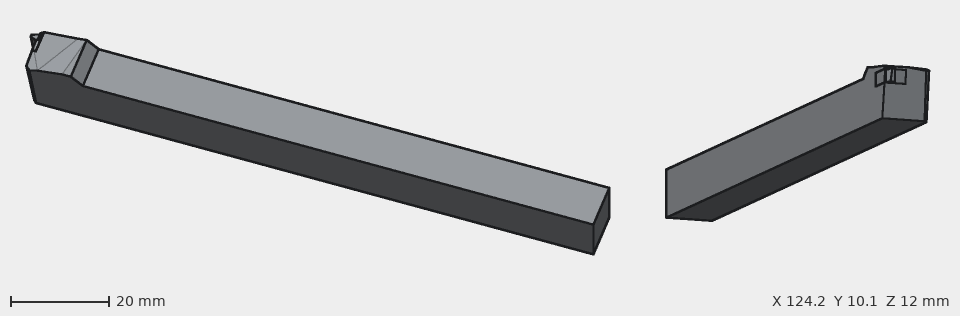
import cadquery as cq
import math


overall_length = 124.21
shank_width = 10.0
shank_height = 10.0
head_height = 12.0
relief_slope = math.tan(math.radians(10))
front_at_floor = 3.4
ridge_x = 11.6
ramp_run = 2.6
bevel_at_floor = 0.75
bevel_at_top = 1.15

front_facet_start = 2.4
front_facet_height = 10.75
valley_right_x = 4.4
valley_left_x = 9.75
valley_left_height = 11.65
corner_facet_left = (2.25, 4.4)
corner_facet_low_point = (2.6, 0.0, 10.35)

jaw_land_height = 10.6
jaw_land_width = 5.2
chip_ramp_angle = math.radians(45)

side_overhang = 0.05
insert_width = 4.6
insert_floor = 7.2
insert_back = 7.0
nose_margin = 0.2
nose_width = 2.0
nose_flat = 0.5
nose_rake = math.radians(6)

insert_top = shank_height
insert_side = shank_width + side_overhang
nose_outer = insert_side - nose_margin
nose_inner = nose_outer - nose_width
cutter_size = 60.0


def front_x(z):
    """X of the sloping front face of the head at height z."""
    return front_at_floor - z * relief_slope


def extrude_profile(points, y_start, y_end):
    """Extrude an outline given in X and Z from one Y to another."""
    outline = cq.Workplane("XZ", origin=(0, y_start, 0)).polyline(points).close()
    return outline.extrude(y_start - y_end)


def below_plane(a, b, c):
    """Large block that fills the space under the plane through three points."""
    along = cq.Vector(*b) - cq.Vector(*a)
    normal = along.cross(cq.Vector(*c) - cq.Vector(*a))
    if normal.z < 0:
        normal = normal * -1
    plane = cq.Plane(origin=a, xDir=along, normal=normal)
    return cq.Workplane(plane).rect(cutter_size, cutter_size).extrude(-cutter_size)


def make_shank():
    """Plain bar behind the ridge, with the ramp that drops to the shank top."""
    profile = [
        (ridge_x, 0),
        (overall_length, 0),
        (overall_length, shank_height),
        (ridge_x + ramp_run, shank_height),
        (ridge_x, head_height),
    ]
    return extrude_profile(profile, 0, shank_width)


def make_head_block():
    """Head in front of the ridge at full height, with its sloping front face."""
    profile = [
        (front_x(0), 0),
        (ridge_x, 0),
        (ridge_x, head_height),
        (front_x(head_height), head_height),
    ]
    return extrude_profile(profile, 0, shank_width)


def make_corner_bevel():
    """Wedge that cuts the front -Y corner at 45 degrees, wider at the top."""

    def corner(bevel, z):
        x = front_x(z)
        return [(x - bevel, -bevel), (x + 2 * bevel, -bevel), (x - bevel, 2 * bevel)]

    wedge = cq.Workplane("XY").polyline(corner(bevel_at_floor, 0)).close()
    wedge = wedge.workplane(offset=head_height).polyline(corner(bevel_at_top, head_height)).close()
    return wedge.loft(ruled=True)


def make_facet_envelope():
    """Space under the head top: two facets that meet in a valley, and a corner facet."""
    facet_slope = (valley_left_height - front_facet_height) / (valley_left_x - front_facet_start)

    def on_front_facet(x, y):
        return (x, y, front_facet_height + (x - front_facet_start) * facet_slope)

    valley_left = on_front_facet(valley_left_x, shank_width)
    valley_right = on_front_facet(valley_right_x, 0)
    facet_edge = on_front_facet(front_facet_start, shank_width)
    ridge_end = (ridge_x, shank_width, head_height)
    front_facet = below_plane(valley_right, valley_left, facet_edge)
    rear_facet = below_plane(valley_right, valley_left, ridge_end)
    corner_facet = below_plane(valley_right, on_front_facet(*corner_facet_left), corner_facet_low_point)
    return front_facet.union(rear_facet).intersect(corner_facet)


def make_insert_seat():
    """Pocket for the insert, open at the front and at the +Y side."""
    profile = [
        (0, insert_floor),
        (insert_back, insert_floor),
        (insert_back, insert_top),
        (0, insert_top),
    ]
    return extrude_profile(profile, insert_side - insert_width, insert_side)


def make_jaw_land():
    """Step that lowers the front of the jaw to a level land."""
    profile = [
        (0, jaw_land_height),
        (front_facet_start, jaw_land_height),
        (front_facet_start, head_height),
        (0, head_height),
    ]
    return extrude_profile(profile, insert_side - jaw_land_width, insert_side)


def make_chip_ramp():
    """Sloping notch in the jaw, rising from the nose to the land."""
    ramp_foot = front_x(insert_top)
    ramp_end = ramp_foot + (jaw_land_height - insert_top) / math.tan(chip_ramp_angle)
    profile = [
        (0, insert_top),
        (ramp_foot, insert_top),
        (ramp_end, jaw_land_height),
        (0, jaw_land_height),
    ]
    return extrude_profile(profile, nose_inner, insert_side)


def make_holder():
    head = make_head_block().intersect(make_facet_envelope())
    head = head.cut(make_corner_bevel())
    holder = make_shank().union(head)
    holder = holder.cut(make_insert_seat())
    holder = holder.cut(make_jaw_land())
    return holder.cut(make_chip_ramp())


def make_insert_body():
    """Block that fills the seat, flush with the front face of the head."""
    profile = [
        (front_x(insert_floor), insert_floor),
        (insert_back, insert_floor),
        (insert_back, insert_top),
        (front_x(insert_top), insert_top),
    ]
    return extrude_profile(profile, insert_side - insert_width, insert_side)


def make_nose():
    """Pointed cutting nose with a raked top and a relieved front."""
    nose_root = front_x(insert_top)
    nose_back = front_x(insert_floor)
    nose_middle = (nose_outer + nose_inner) / 2
    plan = [
        (0, nose_middle - nose_flat / 2),
        (nose_root, nose_inner),
        (nose_back, nose_inner),
        (nose_back, nose_outer),
        (nose_root, nose_outer),
        (0, nose_middle + nose_flat / 2),
    ]
    profile = [
        (0, insert_top),
        ((insert_top - insert_floor) * relief_slope, insert_floor),
        (nose_back, insert_floor),
        (nose_back, insert_top - nose_back * math.tan(nose_rake)),
    ]
    prism = cq.Workplane("XY").polyline(plan).close().extrude(head_height)
    return prism.intersect(extrude_profile(profile, nose_inner, nose_outer))


def make_insert():
    return make_insert_body().union(make_nose())


holder = make_holder()
insert = make_insert()

result = cq.Compound.makeCompound([holder.solids().val(), insert.solids().val()])